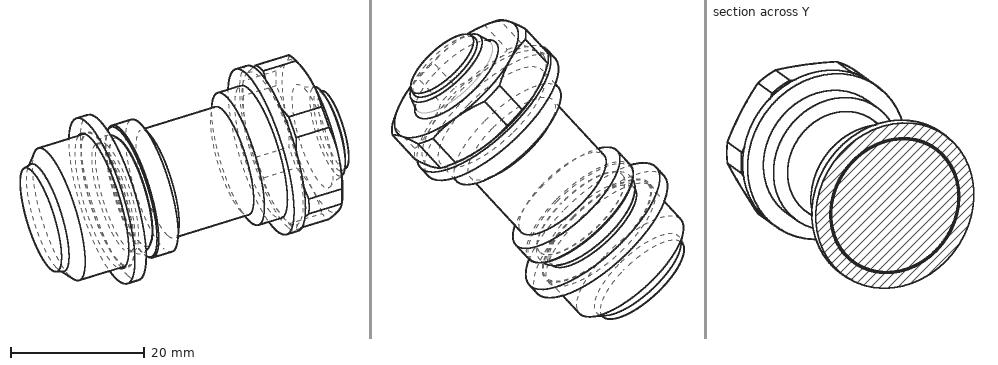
import cadquery as cq
import math

length = 47.5

shank_radius = 8.5
collar_radius = 10.4
flange_radius = 13.0

tip_end_radius = 8.15
tip_base_radius = 8.43
tip_length = 1.1
plug_cone_end = 2.9
flange_thickness = 1.85
front_flange_start = 9.9
front_flange_end = front_flange_start + flange_thickness

gap_width = 0.2
gap_depth = flange_thickness / 2

seal_section_radius = 1.2
seal_outer_radius = 9.25
front_collar_start = 14.65
seal_center = front_collar_start - seal_section_radius
collar_edge_chamfer = 0.2
front_collar_end = 18.0
collar_cone_length = 0.95
rear_collar_length = 3.75

hex_across_flats = 24.0
hex_length = 6.5
hex_end = 44.1
hex_start = hex_end - hex_length
hex_chamfer_angle = 30.0
rear_flange_start = hex_start - flange_thickness
rear_collar_start = rear_flange_start - rear_collar_length

stub_root_radius = 8.1
stub_cone_start = 44.8
stub_cone_start_radius = 7.53
stub_cone_end = 46.55
stub_cone_end_radius = 7.0
stub_tip_start = 46.85
stub_tip_start_radius = 6.25
stub_tip_end_radius = 6.1
flare_bulge = 0.08


def revolve_about_y(profile):
    return profile.close().revolve(360, (0, 0, 0), (0, 1, 0))


def make_body():
    """Front plug, both flanges, shank with its collars, up to the hexagon."""
    profile = (
        cq.Workplane("XY")
        .moveTo(0, 0)
        .lineTo(tip_end_radius, 0)
        .lineTo(tip_base_radius, tip_length)
        .lineTo(collar_radius, plug_cone_end)
        .lineTo(collar_radius, front_flange_start)
        .lineTo(flange_radius, front_flange_start)
        .lineTo(flange_radius, front_flange_end)
        .lineTo(shank_radius, front_flange_end)
        .lineTo(shank_radius, front_collar_start)
        .lineTo(collar_radius - collar_edge_chamfer, front_collar_start)
        .lineTo(collar_radius, front_collar_start + collar_edge_chamfer)
        .lineTo(collar_radius, front_collar_end)
        .lineTo(shank_radius, front_collar_end + collar_cone_length)
        .lineTo(shank_radius, rear_collar_start - collar_cone_length)
        .lineTo(collar_radius, rear_collar_start)
        .lineTo(collar_radius, rear_flange_start)
        .lineTo(flange_radius, rear_flange_start)
        .lineTo(flange_radius, hex_start)
        .lineTo(0, hex_start)
    )
    return revolve_about_y(profile)


def make_flange_gap():
    """Shallow ring-shaped recess in the front flange, next to the plug."""
    profile = (
        cq.Workplane("XY")
        .moveTo(collar_radius, front_flange_start)
        .lineTo(collar_radius + gap_width, front_flange_start)
        .lineTo(collar_radius + gap_width, front_flange_start + gap_depth)
        .lineTo(collar_radius, front_flange_start + gap_depth)
    )
    return revolve_about_y(profile)


def make_seal_ring():
    """Round sealing ring; only its outer half is modelled, as the rest sits inside the shank."""
    section_center_radius = seal_outer_radius - seal_section_radius
    profile = (
        cq.Workplane("XY")
        .moveTo(section_center_radius, seal_center - seal_section_radius)
        .threePointArc(
            (seal_outer_radius, seal_center),
            (section_center_radius, seal_center + seal_section_radius),
        )
    )
    return revolve_about_y(profile)


def make_hexagon():
    """Hexagonal prism with flats facing +Z and -Z, chamfered at both ends."""
    across_corners = hex_across_flats / math.cos(math.pi / 6)
    prism = (
        cq.Workplane("XZ", origin=(0, hex_start, 0))
        .polygon(6, across_corners)
        .extrude(-hex_length)
    )
    end_radius = hex_across_flats / 2
    chamfer_length = (flange_radius - end_radius) * math.tan(math.radians(hex_chamfer_angle))
    envelope = (
        cq.Workplane("XY")
        .moveTo(0, hex_start)
        .lineTo(end_radius, hex_start)
        .lineTo(flange_radius, hex_start + chamfer_length)
        .lineTo(flange_radius, hex_end - chamfer_length)
        .lineTo(end_radius, hex_end)
        .lineTo(0, hex_end)
    )
    return prism.intersect(revolve_about_y(envelope))


def make_rear_stub():
    flare_middle = (
        (stub_root_radius + stub_cone_start_radius) / 2 - flare_bulge,
        (hex_end + stub_cone_start) / 2 - flare_bulge,
    )
    profile = (
        cq.Workplane("XY")
        .moveTo(0, hex_end)
        .lineTo(stub_root_radius, hex_end)
        .threePointArc(flare_middle, (stub_cone_start_radius, stub_cone_start))
        .lineTo(stub_cone_end_radius, stub_cone_end)
        .lineTo(stub_tip_start_radius, stub_tip_start)
        .lineTo(stub_tip_end_radius, length)
        .lineTo(0, length)
    )
    return revolve_about_y(profile)


result = (
    make_body()
    .cut(make_flange_gap())
    .union(make_seal_ring())
    .union(make_hexagon())
    .union(make_rear_stub())
)